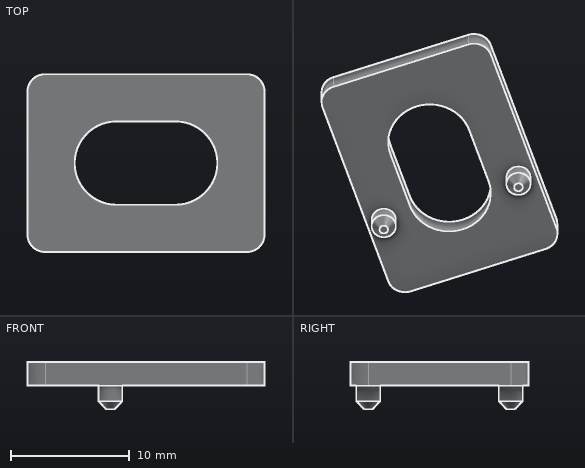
import cadquery as cq

plate_length = 20.0
plate_width = 15.0
plate_thickness = 2.0
corner_radius = 1.5

slot_length = 12.0
slot_width = 7.0

peg_diameter = 2.05
peg_tip_diameter = 0.72
peg_length = 2.0
peg_taper_length = 0.7
peg_x = -3.0
peg_spacing = 12.0


def make_plate():
    """Rounded plate with its underside on Z = 0 and a central slot."""
    plate = (
        cq.Workplane("XY")
        .rect(plate_length, plate_width)
        .extrude(plate_thickness)
        .edges("|Z")
        .fillet(corner_radius)
    )
    slot = cq.Workplane("XY").slot2D(slot_length, slot_width).extrude(plate_thickness)
    return plate.cut(slot)


def make_peg(y):
    """Round peg with a tapered tip, hanging from the plate underside."""
    radius = peg_diameter / 2
    tip_radius = peg_tip_diameter / 2
    shank_length = peg_length - peg_taper_length
    profile = [
        (0, 0),
        (radius, 0),
        (radius, -shank_length),
        (tip_radius, -peg_length),
        (0, -peg_length),
    ]
    peg = cq.Workplane("XZ").polyline(profile).close().revolve(360, (0, 0), (0, 1))
    return peg.translate((peg_x, y, 0))


result = make_plate()
for side in (-1, 1):
    result = result.union(make_peg(side * peg_spacing / 2))